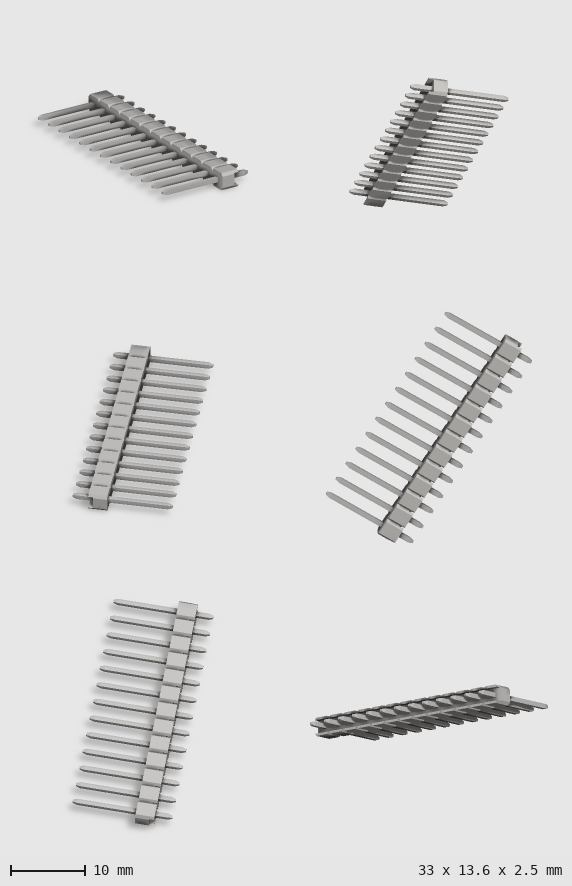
import cadquery as cq

pin_count = 13
row_length = 33.02
pitch = row_length / pin_count

housing_depth = 2.58
housing_height = 2.5
chamfer_width = 0.33
chamfer_drop = 0.43
channel_depth = 0.7
lip_thickness = 0.33

pin_width = 0.63
pin_tip_width = 0.33
taper_length = 0.6
pin_front_reach = 8.75
pin_back_reach = 2.28
pin_offset = -0.1

cell_centers = [(i - (pin_count - 1) / 2) * pitch for i in range(pin_count)]


def make_cell(center):
    """One octagonal housing cell."""
    half_width = pitch / 2
    half_height = housing_height / 2
    flat = half_width - chamfer_width
    side = half_height - chamfer_drop
    outline = [
        (-half_width, -side),
        (-flat, -half_height),
        (flat, -half_height),
        (half_width, -side),
        (half_width, side),
        (flat, half_height),
        (-flat, half_height),
        (-half_width, side),
    ]
    return cq.Workplane("XZ").polyline(outline).close().extrude(-housing_depth).translate((center, 0, 0))


def make_housing():
    """Row of joined cells with a channel along the back."""
    housing = make_cell(cell_centers[0])
    for center in cell_centers[1:]:
        housing = housing.union(make_cell(center))
    channel = (
        cq.Workplane("XY")
        .box(row_length, channel_depth, housing_height - 2 * lip_thickness)
        .translate((0, housing_depth - channel_depth / 2, 0))
    )
    return housing.cut(channel)


def make_taper(shoulder_y, tip_y):
    """Pin end narrowing from the full section to the tip."""
    return (
        cq.Workplane("XZ", origin=(0, shoulder_y, 0))
        .rect(pin_width, pin_width)
        .workplane(offset=shoulder_y - tip_y)
        .rect(pin_tip_width, pin_tip_width)
        .loft(ruled=True)
    )


def make_pin():
    """Square pin on the Y axis, tapered at both ends."""
    front_tip = -pin_front_reach
    back_tip = housing_depth + pin_back_reach
    front_shoulder = front_tip + taper_length
    back_shoulder = back_tip - taper_length
    shank = (
        cq.Workplane("XZ", origin=(0, front_shoulder, 0))
        .rect(pin_width, pin_width)
        .extrude(front_shoulder - back_shoulder)
    )
    return shank.union(make_taper(front_shoulder, front_tip)).union(make_taper(back_shoulder, back_tip))


pin = make_pin()
result = make_housing()
for cell_center in cell_centers:
    result = result.union(pin.translate((cell_center + pin_offset, 0, 0)))